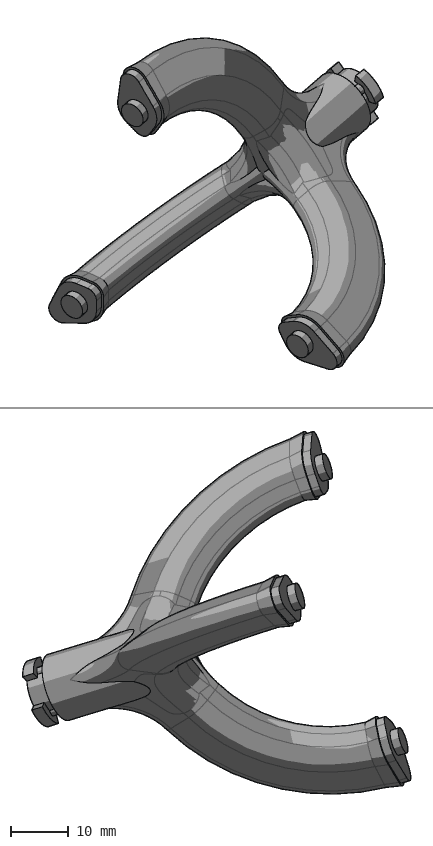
import cadquery as cq
import math

ARM_ANGLES = (105, -15, 225)

TIP_RADIUS = 2.15
TIP_OFFSET = 5.3
MIDDLE_RADIUS = 4.15
HEEL_RADIUS = 1.85
HEEL_OFFSET = 3.3

PIN_DISTANCE = 28.5
BEND_X = -1.55
BEND_Y = 3.65
BEND_RADIUS = PIN_DISTANCE - BEND_X
ARM_END_ANGLE = 87

PIN_RADIUS = 2.3
PIN_LENGTH = 1.5
PLATE_THICKNESS = 1.5
LIP_OFFSET = 0.465
COLLAR_ANGLE = 3.2
LIP_Y = PIN_LENGTH + PLATE_THICKNESS

HUB_RADIUS = 6.0
HUB_BASE_Y = 33.35
HUB_TOP_Y = 53.0
NECK_RADIUS = 12.0
WEB_RADIUS = 13.6
WEB_RUN_IN = 2.5
WEB_INSET = 0.05

HEAD_TILT = 8.0
HEAD_TILT_DIRECTION = 45
HEAD_HEIGHT = 3.8
CORE_RADIUS = 4.45
LUG_HEIGHT = 2.1
LUG_START_ANGLE = 14
LUG_SPAN = 60
STEM_RADIUS = 1.05
STEM_DISTANCE = 3.9
STEM_ANGLE = 52


def about_y(shape, angle):
    """Turn a shape about the Y axis, from +X towards +Z."""
    return shape.rotate((0, 0, 0), (0, 1, 0), -angle)


def arm_plane(bend_angle):
    """Plane square to the arm, with its local x pointing to the outside of the bend."""
    angle = math.radians(bend_angle)
    outward = cq.Vector(math.cos(angle), math.sin(angle), 0)
    along = cq.Vector(-math.sin(angle), math.cos(angle), 0)
    return cq.Plane(cq.Vector(BEND_X, BEND_Y, 0) + outward * BEND_RADIUS, outward, along)


def section(plane, offset=0.0):
    """Closed arm section on a plane, grown outwards by offset."""
    tip = TIP_RADIUS + offset
    middle = MIDDLE_RADIUS + offset
    heel = HEEL_RADIUS + offset
    tip_angle = math.acos((middle - tip) / TIP_OFFSET)
    heel_angle = math.pi - math.acos((middle - heel) / HEEL_OFFSET)

    def on_circle(centre, radius, angle):
        return (centre + radius * math.cos(angle), radius * math.sin(angle))

    return (
        cq.Workplane(plane)
        .moveTo(*on_circle(TIP_OFFSET, tip, tip_angle))
        .lineTo(*on_circle(0, middle, tip_angle))
        .threePointArc((0, middle), on_circle(0, middle, heel_angle))
        .lineTo(*on_circle(-HEEL_OFFSET, heel, heel_angle))
        .threePointArc((-HEEL_OFFSET - heel, 0), on_circle(-HEEL_OFFSET, heel, -heel_angle))
        .lineTo(*on_circle(0, middle, -heel_angle))
        .threePointArc((0, -middle), on_circle(0, middle, -tip_angle))
        .lineTo(*on_circle(TIP_OFFSET, tip, -tip_angle))
        .threePointArc((TIP_OFFSET + tip, 0), on_circle(TIP_OFFSET, tip, tip_angle))
        .close()
    )


def loft(wires, ruled=False):
    return cq.Workplane(cq.Solid.makeLoft(wires, ruled))


def arm():
    sweep = section(arm_plane(COLLAR_ANGLE)).revolve(
        ARM_END_ANGLE - COLLAR_ANGLE, (-BEND_RADIUS, 0, 0), (-BEND_RADIUS, -1, 0)
    )
    end_plane = cq.Plane((PIN_DISTANCE, 0, 0), (1, 0, 0), (0, 1, 0))
    pin = cq.Workplane(end_plane).circle(PIN_RADIUS).extrude(LIP_Y)
    plate = section(cq.Plane((PIN_DISTANCE, PIN_LENGTH, 0), (1, 0, 0), (0, 1, 0))).extrude(PLATE_THICKNESS)
    lip = section(cq.Plane((PIN_DISTANCE, LIP_Y, 0), (1, 0, 0), (0, 1, 0)), LIP_OFFSET)
    collar = loft([lip.wire().val(), section(arm_plane(COLLAR_ANGLE)).wire().val()], ruled=True)
    return sweep.union(collar).union(plate).union(pin)


def neck():
    """Concave blend from the back of the arm up to the side of the hub."""
    reach = BEND_RADIUS + TIP_OFFSET + TIP_RADIUS + NECK_RADIUS
    start = math.degrees(math.acos((HUB_RADIUS + NECK_RADIUS - BEND_X) / reach))
    axis_x = reach - BEND_RADIUS
    bend = section(arm_plane(start)).revolve(start, (axis_x, 0, 0), (axis_x, 1, 0))
    size = 123.55
    outer_half = cq.Workplane().box(size, size, size, centered=(False, True, True))
    return bend.intersect(outer_half)


def web():
    """Blend around the +X axis, running from an arm at +60 degrees to one at -60 degrees about Y."""
    half_gap = 180 / len(ARM_ANGLES)
    centre_distance = (MIDDLE_RADIUS + WEB_RADIUS) / math.sin(math.radians(half_gap))
    tangent_distance = centre_distance * math.cos(math.radians(half_gap))
    waist_x = centre_distance - WEB_RADIUS - MIDDLE_RADIUS

    def section_on_arm(distance, angle, leaving):
        plane = arm_plane(math.degrees(math.acos((distance - BEND_X) / BEND_RADIUS)))
        if leaving:
            plane = cq.Plane(plane.origin, plane.xDir, -plane.zDir)
        return about_y(section(plane, -WEB_INSET), angle).wire().val()

    waist = section(cq.Plane((waist_x, BEND_Y + BEND_RADIUS, 0), (0, 1, 0), (0, 0, -1)))
    run_in = tangent_distance + WEB_RUN_IN
    return loft([
        section_on_arm(run_in, half_gap, False),
        section_on_arm(tangent_distance, half_gap, False),
        waist.wire().val(),
        section_on_arm(tangent_distance, -half_gap, True),
        section_on_arm(run_in, -half_gap, True),
    ])


def head_plane(height):
    """Plane parallel to the tilted end face, at a height above it."""
    tilt = math.radians(HEAD_TILT)
    direction = math.radians(HEAD_TILT_DIRECTION)
    normal = cq.Vector(
        math.sin(tilt) * math.cos(direction), math.cos(tilt), math.sin(tilt) * math.sin(direction)
    )
    across = cq.Vector(math.cos(tilt), -math.sin(tilt) * math.cos(direction), 0)
    return cq.Plane(cq.Vector(0, HUB_TOP_Y, 0) + normal * height, across, normal)


def hub():
    base = cq.Plane((0, HUB_BASE_Y, 0), (1, 0, 0), (0, 1, 0))
    overlength = 2 * HUB_RADIUS
    barrel = cq.Workplane(base).circle(HUB_RADIUS).extrude(HUB_TOP_Y + overlength - HUB_BASE_Y)
    return barrel.cut(cq.Workplane(head_plane(0)).circle(2 * overlength).extrude(2 * overlength))


def polar(radius, angle):
    """Point on a head plane; the local y axis points to -Z."""
    return (radius * math.cos(math.radians(angle)), -radius * math.sin(math.radians(angle)))


def head():
    body = cq.Workplane(head_plane(0)).circle(CORE_RADIUS).extrude(HEAD_HEIGHT)
    for i in range(len(ARM_ANGLES)):
        turn = i * 360 / len(ARM_ANGLES)
        start = LUG_START_ANGLE + turn
        lug = (
            cq.Workplane(head_plane(HEAD_HEIGHT - LUG_HEIGHT))
            .lineTo(*polar(HUB_RADIUS, start))
            .threePointArc(polar(HUB_RADIUS, start + LUG_SPAN / 2), polar(HUB_RADIUS, start + LUG_SPAN))
            .close()
            .extrude(LUG_HEIGHT)
        )
        stem = (
            cq.Workplane(head_plane(0))
            .center(*polar(STEM_DISTANCE, STEM_ANGLE + turn))
            .circle(STEM_RADIUS)
            .extrude(HEAD_HEIGHT)
        )
        body = body.union(lug).union(stem)
    return body


def around(shape, first_angle=0):
    """One copy of a shape for each arm; a first angle shifts the copies on from the arms."""
    return [about_y(shape, angle + first_angle) for angle in ARM_ANGLES]


result = hub()
for piece in around(arm()) + around(neck()) + around(web(), 180 / len(ARM_ANGLES)) + [head()]:
    result = result.union(piece, clean=False)